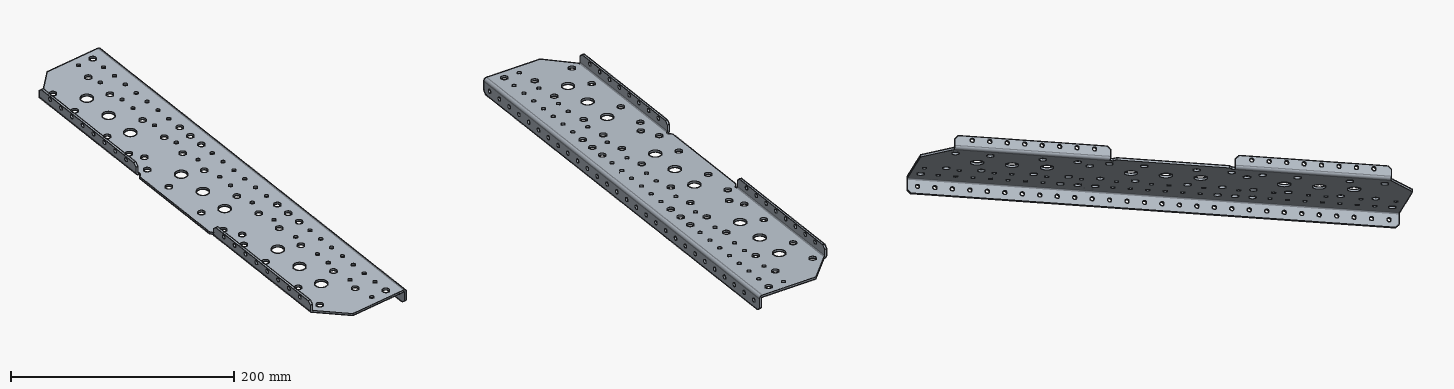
import cadquery as cq

INCH = 25.4
LENGTH = 17.75 * INCH
WIDTH = 3.5 * INCH
THICKNESS = 0.09 * INCH
INNER_BEND_RADIUS = 0.73
OUTER_BEND_RADIUS = INNER_BEND_RADIUS + THICKNESS
HALF_LENGTH = LENGTH / 2
HALF_WIDTH = WIDTH / 2

REAR_FLANGE_DEPTH = 0.625 * INCH
TAB_HEIGHT = 0.5 * INCH
TAB_LENGTH = 5.625 * INCH
FLANGE_CORNER_CHAMFER = 0.125 * INCH

END_CHAMFER = 1.0 * INCH
TAB_OUTER_X = HALF_LENGTH - END_CHAMFER
TAB_INNER_X = TAB_OUTER_X - TAB_LENGTH
FRONT_BEND_Y = -HALF_WIDTH + OUTER_BEND_RADIUS
TONGUE_GAP = 2.5
TONGUE_ROOT_X = TAB_INNER_X - TONGUE_GAP
TONGUE_TIP_X = TONGUE_ROOT_X - OUTER_BEND_RADIUS

SMALL_HOLE = 3.8
MEDIUM_HOLE = 6.75
LARGE_HOLE = 12.0
DRILL_OVERSHOOT = 1.0
DRILL_LENGTH = THICKNESS + 2 * DRILL_OVERSHOOT

PITCH = 16.0
COLUMN_COUNT = 28
FIRST_ROW_Y = HALF_WIDTH - PITCH
SECOND_ROW_Y = FIRST_ROW_Y - PITCH
FIRST_ROW_MEDIUM_COLUMNS = (0, 8, 9, 10)
SECOND_ROW_COLUMNS = (0, 2, 4, 5, 7, 9, 11, 13)
TAB_HOLE_COLUMNS = range(2, 10)
EXTRA_HOLE_COLUMN = 9
EXTRA_HOLE_Y = -23.55
REAR_FLANGE_HOLE_Z = -9.1
TAB_HOLE_Z = 6.8

SIDE_GROUP_X = 140.7
SIDE_GROUP_Y = -11.4
CENTER_GROUP_Y = -12.7
LARGE_HOLE_OFFSETS = (-32.0, 0.0, 32.0)
MEDIUM_HOLE_X_OFFSETS = (-56.0, -24.0, 24.0, 56.0)
MEDIUM_HOLE_Y_OFFSETS = (-20.0, 20.0)


def column_x(column):
    """X of a grid column, counted from the -X end."""
    return (column - (COLUMN_COUNT - 1) / 2) * PITCH


def mirrored(points):
    """The points together with their mirror images about X = 0."""
    return points + [(-x, y) for x, y in points]


def flat_plate():
    """Plate between the bends, with chamfered front corners and a front tongue between the tabs."""
    right_half = [
        (HALF_LENGTH, HALF_WIDTH - OUTER_BEND_RADIUS),
        (HALF_LENGTH, FRONT_BEND_Y + END_CHAMFER),
        (TAB_OUTER_X, FRONT_BEND_Y),
        (TONGUE_ROOT_X, FRONT_BEND_Y),
        (TONGUE_TIP_X, -HALF_WIDTH),
    ]
    left_half = [(-x, y) for x, y in reversed(right_half)]
    outline = cq.Workplane("XY").workplane(offset=-THICKNESS)
    return outline.polyline(right_half + left_half).close().extrude(THICKNESS)


def bent_flange(x_start, length, height):
    """Bend and upright wall folded up at -Y, with its two free corners chamfered."""
    bottom = -THICKNESS
    top = bottom + height
    inner_y = -HALF_WIDTH + THICKNESS
    profile = (
        cq.Workplane("YZ", origin=(x_start, 0, 0))
        .moveTo(FRONT_BEND_Y, bottom)
        .radiusArc((-HALF_WIDTH, bottom + OUTER_BEND_RADIUS), OUTER_BEND_RADIUS)
        .lineTo(-HALF_WIDTH, top)
        .lineTo(inner_y, top)
        .lineTo(inner_y, INNER_BEND_RADIUS)
        .radiusArc((FRONT_BEND_Y, 0), -INNER_BEND_RADIUS)
        .close()
    )
    flange = profile.extrude(length)
    return flange.faces(">Z").edges("|Y").chamfer(FLANGE_CORNER_CHAMFER)


def rear_flange():
    """Full-length flange folded down at +Y, made at -Y and turned over about the X axis."""
    mid_plane_z = -THICKNESS / 2
    flange = bent_flange(-HALF_LENGTH, LENGTH, REAR_FLANGE_DEPTH)
    return flange.rotate((0, 0, mid_plane_z), (1, 0, mid_plane_z), 180)


def plate_drills(points, diameter):
    """Cylinders through the plate at the given X, Y points."""
    start = cq.Workplane("XY").workplane(offset=-THICKNESS - DRILL_OVERSHOOT)
    return start.pushPoints(points).circle(diameter / 2).extrude(DRILL_LENGTH)


def flange_drills(points, start_y):
    """Small cylinders through a flange at the given X, Z points, whose +Y face lies at start_y."""
    start = cq.Workplane("XZ", origin=(0, start_y + DRILL_OVERSHOOT, 0))
    return start.pushPoints(points).circle(SMALL_HOLE / 2).extrude(DRILL_LENGTH)


def drill_grid_rows(body):
    """Two rows of plate holes at the grid pitch, and one extra medium hole near each tab's inner end."""
    half_columns = range(COLUMN_COUNT // 2)
    small = [(column_x(c), FIRST_ROW_Y) for c in half_columns if c not in FIRST_ROW_MEDIUM_COLUMNS]
    small += [(column_x(c), SECOND_ROW_Y) for c in SECOND_ROW_COLUMNS]
    medium = [(column_x(c), FIRST_ROW_Y) for c in FIRST_ROW_MEDIUM_COLUMNS]
    medium.append((column_x(EXTRA_HOLE_COLUMN), EXTRA_HOLE_Y))
    body = body.cut(plate_drills(mirrored(small), SMALL_HOLE))
    return body.cut(plate_drills(mirrored(medium), MEDIUM_HOLE))


def drill_mount_group(body, center_x, center_y):
    """One group of three large and eight medium plate holes."""
    large = [(center_x + dx, center_y) for dx in LARGE_HOLE_OFFSETS]
    medium = [
        (center_x + dx, center_y + dy)
        for dx in MEDIUM_HOLE_X_OFFSETS
        for dy in MEDIUM_HOLE_Y_OFFSETS
    ]
    body = body.cut(plate_drills(large, LARGE_HOLE))
    return body.cut(plate_drills(medium, MEDIUM_HOLE))


def drill_flanges(body):
    """Rows of small holes through the rear flange and the two tabs."""
    rear = [(column_x(c), REAR_FLANGE_HOLE_Z) for c in range(COLUMN_COUNT)]
    tabs = mirrored([(column_x(c), TAB_HOLE_Z) for c in TAB_HOLE_COLUMNS])
    body = body.cut(flange_drills(rear, HALF_WIDTH))
    return body.cut(flange_drills(tabs, -HALF_WIDTH + THICKNESS))


result = flat_plate().union(rear_flange())
for tab_start_x in (-TAB_OUTER_X, TAB_INNER_X):
    result = result.union(bent_flange(tab_start_x, TAB_LENGTH, TAB_HEIGHT))
result = drill_grid_rows(result)
result = drill_mount_group(result, -SIDE_GROUP_X, SIDE_GROUP_Y)
result = drill_mount_group(result, 0, CENTER_GROUP_Y)
result = drill_mount_group(result, SIDE_GROUP_X, SIDE_GROUP_Y)
result = drill_flanges(result)